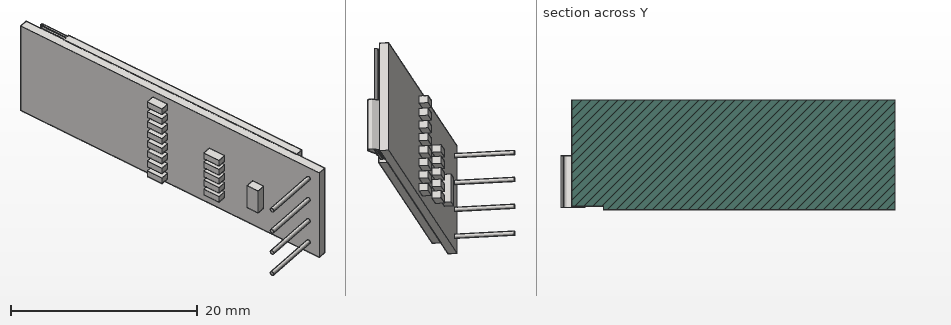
import cadquery as cq


board_length = 40.0
board_height = 12.0
board_thickness = 1.0
board_front = -board_thickness

panel_start = 4.9
panel_end = 36.15
panel_margin = 0.1
panel_thickness = 1.0
panel_top = board_height - panel_margin

sheet_thickness = 0.25
sheet_bottom = 0.5
inner_sheet_start = 1.75
inner_sheet_gap = 0.2
outer_sheet_start = 1.5
sheet_spacing = 0.1
outer_sheet_gap = inner_sheet_gap + sheet_thickness + sheet_spacing
outer_sheet_back = outer_sheet_gap + sheet_thickness

ribbon_thickness = 0.1
ribbon_bottom = 0.35
ribbon_top = 5.9
ribbon_foot = (1.1, 0.0)
ribbon_bends = [(0.6, 0.65), (0.45, 1.1), (0.7, 1.35), (1.35, 1.3)]
ribbon_end = (2.9, outer_sheet_back)

component_depth = 1.0
chip_height = 0.8
long_row_start = 17.7
long_row_width = 1.95
long_row_bottom = 0.55
long_row_pitch = 1.4
long_row_count = 8
short_row_start = 25.3
short_row_width = 2.05
short_row_bottom = 1.9
short_row_pitch = 1.3
short_row_count = 5
block_start = 31.1
block_width = 1.5
block_bottom = 3.1
block_height = 3.1

pin_diameter = 0.5
pin_x = 38.55
pin_pitch = 3.0
pin_count = 4
pin_length = 6.5
solder_diameter = 1.35
solder_height = 0.5


def box(x_start, x_end, y_start, y_end, z_start, z_end):
    """Box between two opposite corners."""
    size = (x_end - x_start, y_end - y_start, z_end - z_start)
    return cq.Workplane("XY").box(*size, centered=False).translate((x_start, y_start, z_start))


def component(x_start, width, bottom, height):
    """Rectangular component standing on the board's -Y face."""
    return box(x_start, x_start + width, board_front - component_depth, board_front, bottom, bottom + height)


def glass_sheet(x_start, gap):
    """Thin sheet that ends on the panel, held a gap away from the board."""
    return box(x_start, panel_start, gap, gap + sheet_thickness, sheet_bottom, panel_top)


def ribbon():
    """Thin strip swept along the loop."""
    height = ribbon_top - ribbon_bottom
    path = cq.Workplane("XY").spline([ribbon_foot, *ribbon_bends, ribbon_end])
    tangent = path.val().tangentAt(0)
    start = cq.Plane(origin=(*ribbon_foot, 0), xDir=(0, 0, 1), normal=tangent.toTuple())
    strip = cq.Workplane(start).rect(height, ribbon_thickness).sweep(path)
    return strip.translate((0, 0, (ribbon_bottom + ribbon_top) / 2))


def header_pin(z):
    """Round pin through the board, with a solder cone on the +Y face."""
    profile = [
        (0, board_front - pin_length),
        (pin_diameter / 2, board_front - pin_length),
        (pin_diameter / 2, 0),
        (solder_diameter / 2, 0),
        (pin_diameter / 2, solder_height),
        (0, solder_height),
    ]
    pin = cq.Workplane("XY").polyline(profile).close().revolve(360, (0, 0, 0), (0, 1, 0))
    return pin.translate((pin_x, 0, z))


result = box(0, board_length, board_front, 0, 0, board_height)
result = result.union(box(panel_start, panel_end, 0, panel_thickness, panel_margin, panel_top))
result = result.union(glass_sheet(inner_sheet_start, inner_sheet_gap))
result = result.union(glass_sheet(outer_sheet_start, outer_sheet_gap))
result = result.union(ribbon())

for i in range(long_row_count):
    chip_bottom = long_row_bottom + i * long_row_pitch
    result = result.union(component(long_row_start, long_row_width, chip_bottom, chip_height))

for i in range(short_row_count):
    chip_bottom = short_row_bottom + i * short_row_pitch
    result = result.union(component(short_row_start, short_row_width, chip_bottom, chip_height))

result = result.union(component(block_start, block_width, block_bottom, block_height))

lowest_pin = (board_height - (pin_count - 1) * pin_pitch) / 2
for i in range(pin_count):
    result = result.union(header_pin(lowest_pin + i * pin_pitch))